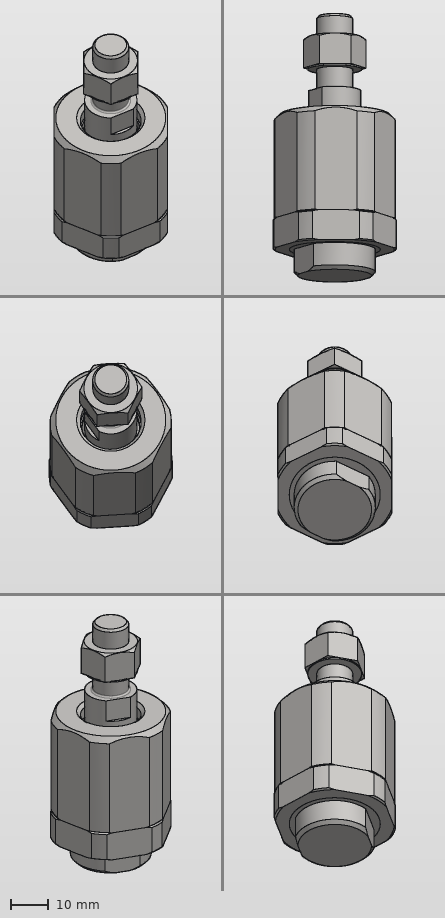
import cadquery as cq
import math


lock_nut_bottom = 7.0
case_bottom = 15.0
ball_center = 30.0
ring_top = 39.0
case_top = 43.0
collar_flat_bottom = 43.5
collar_top = 49.5
stud_nut_bottom = 55.2
stud_top = 69.5

bevel_angle = 45.0
nut_chamfer_angle = 30.0
hex_half_angle = 30.0

hex_across_flats = 30.0
case_corner_diameter = 32.0
case_top_face_diameter = 29.0
case_mouth_diameter = 18.0
case_bore_diameter = 16.0
lock_nut_corner_diameter = 32.5
joint_face_diameter = 31.4
thread_diameter = 24.0

socket_end_diameter = 21.4
socket_across_flats = 19.0
socket_chamfer = 1.0

ring_bore_diameter = 15.2

ball_diameter = 20.5
collar_diameter = 13.8
collar_across_flats = 12.0
shank_diameter = 9.53
shank_tip_diameter = 8.38
shank_tip_height = 0.7
shank_root_diameter = 10.5

stud_nut_across_flats = 14.29
stud_nut_height = 8.6
stud_nut_face_diameter = 14.1
washer_face_diameter = 14.25
washer_face_height = 0.4


def cylinder(diameter, bottom, top):
    return cq.Workplane("XY").workplane(offset=bottom).circle(diameter / 2).extrude(top - bottom)


def hex_prism(across_flats, bottom, top):
    """Hexagonal prism with two of its flats facing -X and +X."""
    corner_diameter = across_flats / math.cos(math.radians(hex_half_angle))
    prism = cq.Workplane("XY").polygon(6, corner_diameter).extrude(top - bottom)
    return prism.rotate((0, 0, 0), (0, 0, 1), hex_half_angle).translate((0, 0, bottom))


def turned(profile):
    """Solid of revolution about Z from (radius, height) points."""
    return cq.Workplane("XZ").polyline(profile).close().revolve(360, (0, 0, 0), (0, 1, 0))


def slab(across_flats, bottom, top):
    """Slab as thick in X as the distance across two wrench flats, and wider in Y than any body."""
    width = 2 * hex_across_flats
    return cq.Workplane("XY").workplane(offset=bottom).rect(across_flats, width).extrude(top - bottom)


def chamfer_height(outer_diameter, face_diameter, angle):
    return (outer_diameter - face_diameter) / 2 * math.tan(math.radians(angle))


def chamfered_cylinder(diameter, bottom, top, bottom_face, bottom_height, top_face, top_height):
    """Cylinder whose ends taper to the given face diameters over the given heights."""
    return turned(
        [
            (0, bottom),
            (bottom_face / 2, bottom),
            (diameter / 2, bottom + bottom_height),
            (diameter / 2, top - top_height),
            (top_face / 2, top),
            (0, top),
        ]
    )


def ball():
    return cq.Workplane("XY").sphere(ball_diameter / 2).translate((0, 0, ball_center))


def make_case():
    bottom_height = chamfer_height(case_corner_diameter, joint_face_diameter, nut_chamfer_angle)
    top_height = chamfer_height(case_corner_diameter, case_top_face_diameter, bevel_angle)
    envelope = chamfered_cylinder(
        case_corner_diameter,
        case_bottom,
        case_top,
        joint_face_diameter,
        bottom_height,
        case_top_face_diameter,
        top_height,
    )
    mouth_depth = chamfer_height(case_mouth_diameter, case_bore_diameter, bevel_angle)
    opening = turned(
        [
            (0, case_bottom),
            (thread_diameter / 2, case_bottom),
            (thread_diameter / 2, ring_top),
            (case_bore_diameter / 2, ring_top),
            (case_bore_diameter / 2, case_top - mouth_depth),
            (case_mouth_diameter / 2, case_top),
            (0, case_top),
        ]
    )
    return hex_prism(hex_across_flats, case_bottom, case_top).intersect(envelope).cut(opening)


def make_lock_nut():
    end_height = chamfer_height(lock_nut_corner_diameter, joint_face_diameter, nut_chamfer_angle)
    envelope = chamfered_cylinder(
        lock_nut_corner_diameter,
        lock_nut_bottom,
        case_bottom,
        joint_face_diameter,
        end_height,
        joint_face_diameter,
        end_height,
    )
    blank = hex_prism(hex_across_flats, lock_nut_bottom, case_bottom).intersect(envelope)
    return blank.cut(cylinder(thread_diameter, lock_nut_bottom, case_bottom))


def make_socket():
    """Plug with two wrench flats at its free end and a hemispherical seat for the ball."""
    end = cylinder(socket_end_diameter, 0, lock_nut_bottom).faces("<Z").chamfer(socket_chamfer)
    end = end.intersect(slab(socket_across_flats, 0, lock_nut_bottom))
    threaded_part = cylinder(thread_diameter, lock_nut_bottom, ball_center)
    return end.union(threaded_part).cut(ball())


def make_ring():
    """Ring that closes over the upper half of the ball."""
    blank = cylinder(thread_diameter, ball_center, ring_top)
    return blank.cut(cylinder(ring_bore_diameter, ball_center, ring_top)).cut(ball())


def make_stud():
    collar = cylinder(collar_diameter, ball_center, collar_top)
    flatted = slab(collar_across_flats, collar_flat_bottom, collar_top)
    collar = collar.intersect(flatted.union(cylinder(collar_diameter, ball_center, collar_flat_bottom)))

    shank_radius = shank_diameter / 2
    root_radius = shank_root_diameter / 2
    fillet = root_radius - shank_radius
    fillet_middle = fillet * (1 - math.sqrt(0.5))
    shank = (
        cq.Workplane("XZ")
        .moveTo(0, collar_top)
        .lineTo(root_radius, collar_top)
        .threePointArc(
            (shank_radius + fillet_middle, collar_top + fillet_middle),
            (shank_radius, collar_top + fillet),
        )
        .lineTo(shank_radius, stud_top - shank_tip_height)
        .lineTo(shank_tip_diameter / 2, stud_top)
        .lineTo(0, stud_top)
        .close()
        .revolve(360, (0, 0, 0), (0, 1, 0))
    )
    return ball().union(collar).union(shank)


def make_stud_nut():
    """Hexagon nut, chamfered on top and with a round washer face underneath."""
    top = stud_nut_bottom + stud_nut_height
    hex_bottom = stud_nut_bottom + washer_face_height
    corner_diameter = stud_nut_across_flats / math.cos(math.radians(hex_half_angle))
    top_height = chamfer_height(corner_diameter, stud_nut_face_diameter, nut_chamfer_angle)
    envelope = turned(
        [
            (0, stud_nut_bottom),
            (washer_face_diameter / 2, stud_nut_bottom),
            (washer_face_diameter / 2, hex_bottom),
            (corner_diameter / 2, hex_bottom),
            (corner_diameter / 2, top - top_height),
            (stud_nut_face_diameter / 2, top),
            (0, top),
        ]
    )
    body = hex_prism(stud_nut_across_flats, stud_nut_bottom, top).intersect(envelope)
    return body.cut(cylinder(shank_diameter, stud_nut_bottom, top))


case = make_case()
lock_nut = make_lock_nut()
socket = make_socket()
ring = make_ring()
stud = make_stud()
stud_nut = make_stud_nut()

result = cq.Compound.makeCompound(
    [case.val(), lock_nut.val(), socket.val(), ring.val(), stud.val(), stud_nut.val()]
)